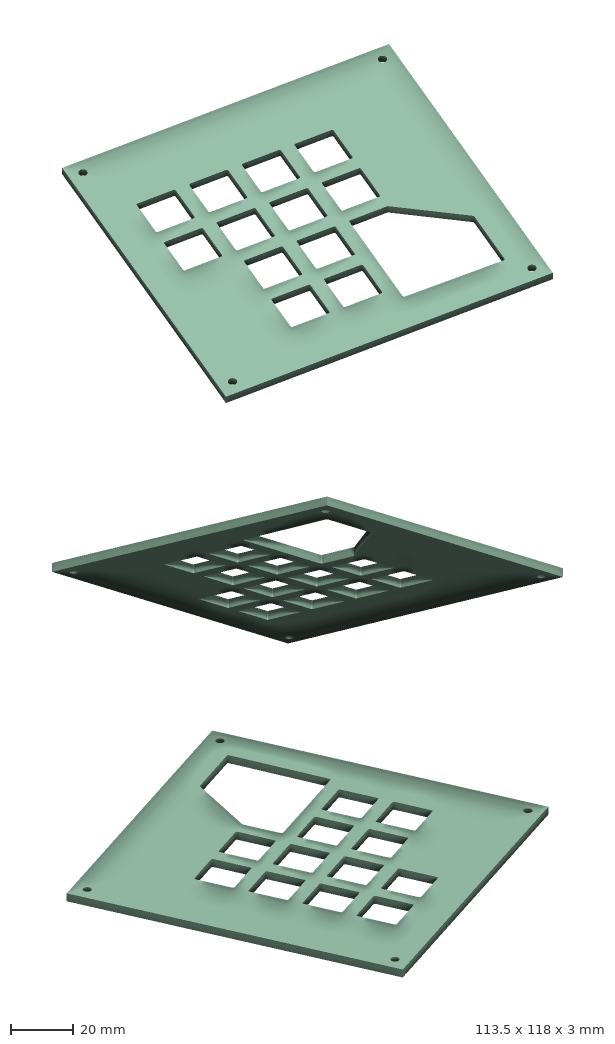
import cadquery as cq

plate_width = 113.5
plate_length = 118.0
plate_thickness = 3.0

screw_hole_diameter = 3.0
screw_hole_inset = 5.0
screw_spacing_x = plate_width - 2 * screw_hole_inset
screw_spacing_y = plate_length - 2 * screw_hole_inset

opening_corner_radius = 0.5

key_size = 14.0
key_pitch = 19.0
first_column_x = -24.7
top_row_y = 18.6
rows_in_column = [
    (0, 1, 2, 3),
    (0, 1, 2, 3),
    (1, 2),
    (1, 2),
]

display_column = 2
display_top_y = 48.1
display_top_left_x = 22.9
display_top_right_x = 44.6
display_bottom_right_x = 44.1


def column_x(column):
    return first_column_x + column * key_pitch


def row_y(row):
    return top_row_y - row * key_pitch


def through_cutter(outline):
    """Extrude a closed outline through the plate and round its upright edges."""
    return outline.extrude(plate_thickness).edges("|Z").fillet(opening_corner_radius)


def make_plate():
    return cq.Workplane("XY").box(plate_width, plate_length, plate_thickness, centered=(True, True, False))


def make_screw_holes():
    return (
        cq.Workplane("XY")
        .rect(screw_spacing_x, screw_spacing_y, forConstruction=True)
        .vertices()
        .circle(screw_hole_diameter / 2)
        .extrude(plate_thickness)
    )


def make_key_openings():
    centres = [
        (column_x(column), row_y(row))
        for column, rows in enumerate(rows_in_column)
        for row in rows
    ]
    outlines = cq.Workplane("XY").pushPoints(centres).rect(key_size, key_size)
    return through_cutter(outlines)


def make_display_opening():
    left_x = column_x(display_column) - key_size / 2
    bottom_y = row_y(0) - key_size / 2
    shoulder_y = row_y(0) + key_size / 2
    outline = (
        cq.Workplane("XY")
        .moveTo(left_x, bottom_y)
        .lineTo(display_bottom_right_x, bottom_y)
        .lineTo(display_top_right_x, display_top_y)
        .lineTo(display_top_left_x, display_top_y)
        .lineTo(left_x, shoulder_y)
        .close()
    )
    return through_cutter(outline)


result = (
    make_plate()
    .cut(make_screw_holes())
    .cut(make_key_openings())
    .cut(make_display_opening())
)